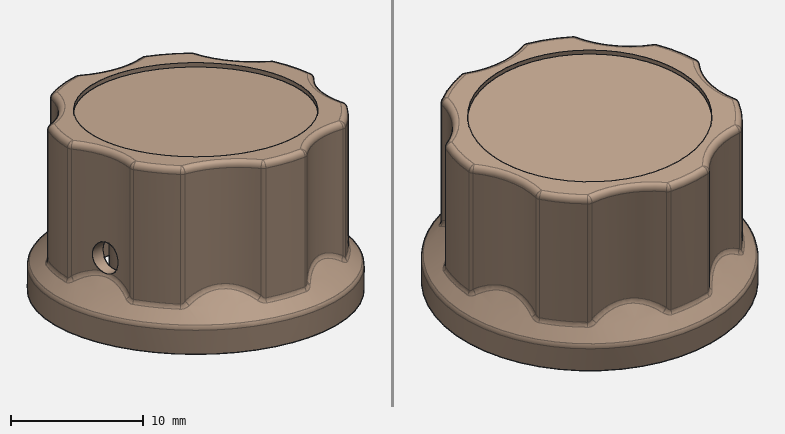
import cadquery as cq

base_diameter = 25.4
height = 14.68
shoulder_height = 2.18
edge_radius = 0.5

grip_diameter = 23.0
flute_count = 7
flute_diameter = 13.85
flute_floor_radius = 10.36
first_flute_angle = -90.0

recess_diameter = 18.42
recess_depth = 0.35

cavity_diameter = 18.65
cap_thickness = 1.02
hub_diameter = 13.05
bore_diameter = 6.35

screw_diameter = 2.55
screw_height = 5.87

base_radius = base_diameter / 2
flute_radius = flute_diameter / 2
flute_centre_radius = flute_floor_radius + flute_radius
cavity_depth = height - recess_depth - cap_thickness

cone_top_radius = flute_floor_radius - edge_radius
cone_top_height = shoulder_height + base_radius - cone_top_radius


def edges_between(low, high):
    """Selector for the edges lying wholly between two heights."""
    corner = (-base_diameter, -base_diameter, low)
    opposite = (base_diameter, base_diameter, high)
    return cq.selectors.BoxSelector(corner, opposite, boundingbox=True)


def make_base():
    """Straight band topped by a 45 degree cone, with a rounded shoulder."""
    profile = [
        (0, 0),
        (base_radius, 0),
        (base_radius, shoulder_height),
        (cone_top_radius, cone_top_height),
        (0, cone_top_height),
    ]
    base = cq.Workplane("XZ").polyline(profile).close().revolve(360, (0, 0), (0, 1))
    shoulder = edges_between(shoulder_height - edge_radius, shoulder_height + edge_radius)
    return base.edges(shoulder).fillet(edge_radius)


def make_grip():
    """Cylinder with evenly spaced round flutes, rounded ridges and a rounded top rim."""
    grip = cq.Workplane("XY").circle(grip_diameter / 2).extrude(height)
    flutes = (
        cq.Workplane("XY")
        .polarArray(flute_centre_radius, first_flute_angle, 360, flute_count)
        .circle(flute_radius)
        .extrude(height)
    )
    return grip.cut(flutes).edges("|Z or >Z").fillet(edge_radius)


def make_outer_body():
    """Grip standing on the base, with the scalloped line where they meet blended."""
    body = make_base().union(make_grip())
    root = edges_between(shoulder_height + edge_radius, cone_top_height)
    return body.edges(root).fillet(edge_radius)


def make_recess():
    """Shallow disc sunk into the top face."""
    floor_height = height - recess_depth
    return cq.Workplane("XY", origin=(0, 0, floor_height)).circle(recess_diameter / 2).extrude(recess_depth)


def make_cavity():
    """Ring-shaped space around the hub, open at the underside."""
    ring = cq.Workplane("XY").circle(cavity_diameter / 2).circle(hub_diameter / 2)
    return ring.extrude(cavity_depth)


def make_bore():
    """Blind shaft hole up the middle of the hub."""
    return cq.Workplane("XY").circle(bore_diameter / 2).extrude(cavity_depth)


def make_screw_hole():
    """Horizontal hole from the knob axis out through the -Y flute."""
    return cq.Workplane("XZ", origin=(0, 0, screw_height)).circle(screw_diameter / 2).extrude(base_radius)


result = (
    make_outer_body()
    .cut(make_recess())
    .cut(make_cavity())
    .cut(make_bore())
    .cut(make_screw_hole())
)